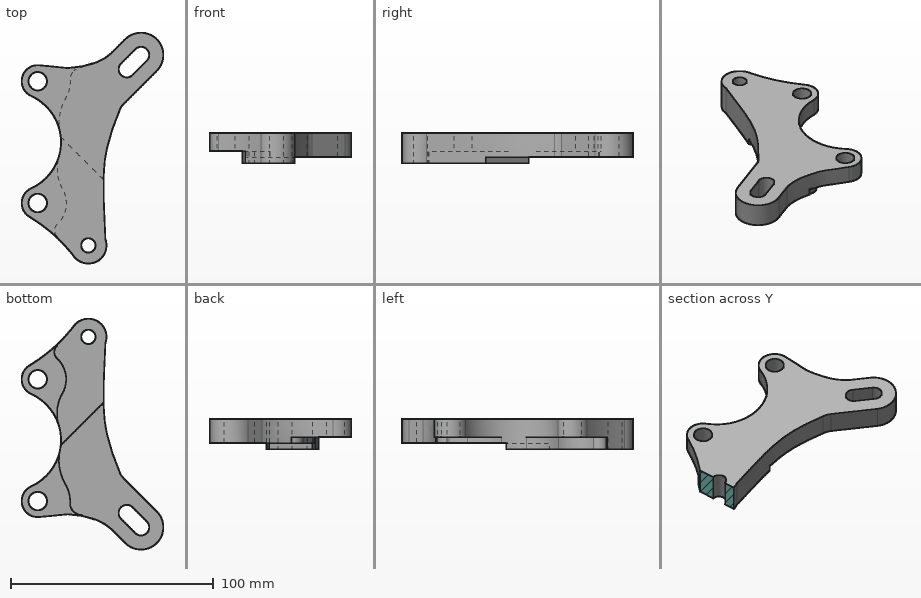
import cadquery as cq
import math

ear_thickness = 9.0
arm_thickness = 12.0
body_thickness = 15.0

ear_spacing = 60.0
ear_y = ear_spacing / 2
ear_radius = 8.0
ear_hole_diameter = 9.0

throat_radius = 25.0
throat_x = -math.sqrt((throat_radius + ear_radius) ** 2 - ear_y**2)

pivot_x = 25.0
pivot_y = -50.9
pivot_radius = 9.0
pivot_hole_diameter = 7.0

arm_angle = 45
arm_x = 50.9
arm_y = 43.0
arm_radius = 11.0
slot_travel = 9.9
slot_width = 8.0
arm_upper_length = 9.8
arm_lower_length = 23.2

ear_top_angle = 82
ear_bottom_angle = 242
pivot_left_angle = 211
pivot_right_angle = 20
lower_edge_middle = (7.1, -44.9)
upper_edge_points = [(7.1, 37.4), (14.8, 36.6), (22.2, 37.5), (29.4, 39.5)]
back_edge_points = [(32.6, -28.6), (34.0, -3.9), (36.9, 6.6)]
back_corner = (40.2, 15.2)
back_corner_middle = (41.1, 17.2)

clearance_margin = 5.7
upper_clearance = {
    "radius": 16.0,
    "throat_blend_radius": 23.7,
    "tip_radius": 5.7,
    "tip_angle": 3,
    "tip_end_angle": 90,
}
lower_clearance = {
    "radius": 14.0,
    "throat_blend_radius": 19.7,
    "tip_radius": 4.3,
    "tip_angle": -47,
    "tip_end_angle": 230,
}

step_throat_point = (10.9, 3.0)
step_reach = 68.4


def polar(center, radius, angle):
    """Point at the given radius and angle (degrees) from a center."""
    turn = math.radians(angle)
    return (center[0] + radius * math.cos(turn), center[1] + radius * math.sin(turn))


def direction(angle):
    """Unit vector at the given angle in degrees."""
    return cq.Vector(*polar((0, 0), 1, angle))


upper_ear = (0, ear_y)
lower_ear = (0, -ear_y)
pivot = (pivot_x, pivot_y)
arm_end = (arm_x, arm_y)
throat_center = (throat_x, 0)
throat_angle = math.degrees(math.atan2(ear_y, -throat_x))


def make_outline():
    """Closed outline, from the top of the upper ear clockwise."""
    upper_tangent = polar(arm_end, arm_radius, arm_angle + 90)
    lower_tangent = polar(arm_end, arm_radius, arm_angle - 90)
    upper_root = polar(upper_tangent, arm_upper_length, arm_angle + 180)
    lower_root = polar(lower_tangent, arm_lower_length, arm_angle + 180)
    throat_top = polar(throat_center, throat_radius, throat_angle)
    throat_middle = polar(throat_center, throat_radius, 0)
    throat_bottom = polar(throat_center, throat_radius, -throat_angle)
    ear_top = polar(upper_ear, ear_radius, ear_top_angle)
    return (
        cq.Workplane("XY")
        .moveTo(*ear_top)
        .spline(
            upper_edge_points + [upper_root],
            tangents=[direction(ear_top_angle - 90), direction(arm_angle)],
            includeCurrent=True,
        )
        .lineTo(*upper_tangent)
        .threePointArc(polar(arm_end, arm_radius, arm_angle), lower_tangent)
        .lineTo(*lower_root)
        .threePointArc(back_corner_middle, back_corner)
        .spline(
            back_edge_points[::-1] + [polar(pivot, pivot_radius, pivot_right_angle)],
            includeCurrent=True,
        )
        .threePointArc(
            polar(pivot, pivot_radius, -90),
            polar(pivot, pivot_radius, pivot_left_angle),
        )
        .threePointArc(lower_edge_middle, polar(lower_ear, ear_radius, ear_bottom_angle))
        .threePointArc(polar(lower_ear, ear_radius, 180), throat_bottom)
        .threePointArc(throat_middle, throat_top)
        .threePointArc(polar(upper_ear, ear_radius, 180), ear_top)
        .close()
    )


def arc_points(center, radius, start_angle, end_angle):
    """Start, middle and end points of an arc."""
    middle_angle = (start_angle + end_angle) / 2
    return [polar(center, radius, angle) for angle in (start_angle, middle_angle, end_angle)]


def throat_blend_angles(radius, blend_radius):
    """Angles (degrees, at the ear and at the throat) of the blend arc's center.

    Both are counterclockwise from +X for the lower ear, and the blend arc
    is tangent to the clearance arc and to the throat.
    """
    ear_side = radius + blend_radius
    throat_side = throat_radius + blend_radius
    base = throat_radius + ear_radius
    ear_corner = math.acos((ear_side**2 + base**2 - throat_side**2) / (2 * ear_side * base))
    throat_corner = math.acos((throat_side**2 + base**2 - ear_side**2) / (2 * throat_side * base))
    at_ear = 180 - throat_angle - math.degrees(ear_corner)
    at_throat = math.degrees(throat_corner) - throat_angle
    return at_ear, at_throat


def make_clearance(ear, clearance):
    """Underside cut that thins one ear, open toward -X."""
    side = math.copysign(1, ear[1])
    radius = clearance["radius"]
    tip_radius = clearance["tip_radius"]
    tip_angle = clearance["tip_angle"]
    tip_center = polar(ear, radius + tip_radius, tip_angle)
    tip_start, tip_middle, tip_end = arc_points(
        tip_center, tip_radius, tip_angle + 180, clearance["tip_end_angle"]
    )

    blend_radius = clearance["throat_blend_radius"]
    at_ear, at_throat = throat_blend_angles(radius, blend_radius)
    ear_angle = -side * at_ear
    blend_center = polar(ear, radius + blend_radius, ear_angle)
    blend_start, blend_middle, blend_end = arc_points(
        blend_center, blend_radius, ear_angle + 180, 180 - side * at_throat
    )

    clearance_middle = polar(ear, radius, (tip_angle + ear_angle) / 2)
    open_x = -ear_radius - clearance_margin
    open_y = tip_end[1] + side * clearance_margin
    return (
        cq.Workplane("XY")
        .workplane(offset=-ear_thickness)
        .moveTo(open_x, open_y)
        .lineTo(tip_end[0], open_y)
        .lineTo(*tip_end)
        .threePointArc(tip_middle, tip_start)
        .threePointArc(clearance_middle, blend_start)
        .threePointArc(blend_middle, blend_end)
        .lineTo(*throat_center)
        .close()
        .extrude(-body_thickness)
    )


def make_arm_step():
    """Underside cut that thins everything on the arm side of the step."""
    step_depth = body_thickness - arm_thickness
    return (
        cq.Workplane("XY")
        .rect(step_reach, 2 * step_reach)
        .extrude(-step_depth)
        .translate((step_reach / 2, 0, -arm_thickness))
        .rotate((0, 0, 0), (0, 0, 1), arm_angle)
        .translate(step_throat_point)
    )


def make_hole(center, diameter):
    """Through hole cutter."""
    return cq.Workplane("XY").center(*center).circle(diameter / 2).extrude(-body_thickness)


def make_slot():
    """Through slot cutter, running back from the arm end along the arm."""
    slot_center = polar(arm_end, slot_travel / 2, arm_angle + 180)
    slot_length = slot_travel + slot_width
    return (
        cq.Workplane("XY")
        .center(*slot_center)
        .slot2D(slot_length, slot_width, arm_angle)
        .extrude(-body_thickness)
    )


result = (
    make_outline()
    .extrude(-body_thickness)
    .cut(make_arm_step())
    .cut(make_clearance(upper_ear, upper_clearance))
    .cut(make_clearance(lower_ear, lower_clearance))
    .cut(make_hole(upper_ear, ear_hole_diameter))
    .cut(make_hole(lower_ear, ear_hole_diameter))
    .cut(make_hole(pivot, pivot_hole_diameter))
    .cut(make_slot())
)